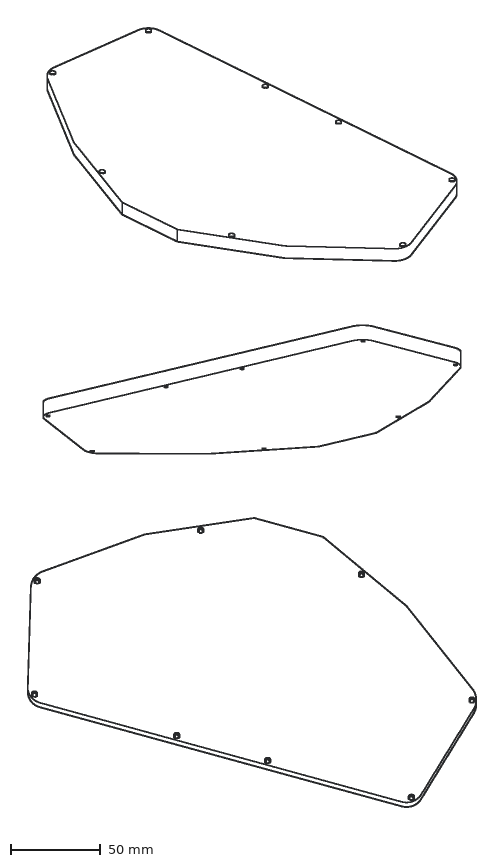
import cadquery as cq
import math

overall_width = 258.09
plate_depth = 137.0
plate_thickness = 8.6
rear_corner_radius = 9.5
side_corner_radius = 10.4

rear_half_width = 112.5
front_half_width = 20.0
knee_half_width = 76.1

knee_from_front = 26.1
side_from_front = 66.8

screw_diameter = 2.1
head_diameter = 3.3
head_depth = 2.0

screw_places = [
    (109.5, 132.9),
    (26.4, 134.3),
    (126.3, 68.8),
    (46.7, 15.1),
]

rear_y = plate_depth / 2
front_y = -plate_depth / 2
knee_y = front_y + knee_from_front
side_y = front_y + side_from_front


def side_half_width():
    """Half width at the sharp side corners that leaves the overall width once they are rounded."""
    refinement_steps = 20
    sharp = overall_width / 2
    for _ in range(refinement_steps):
        rear_angle = math.atan2(sharp - rear_half_width, rear_y - side_y)
        knee_angle = math.atan2(sharp - knee_half_width, side_y - knee_y)
        half_turn = (rear_angle + knee_angle) / 2
        tilt = (knee_angle - rear_angle) / 2
        trimmed = side_corner_radius * (math.cos(tilt) / math.cos(half_turn) - 1)
        sharp = overall_width / 2 + trimmed
    return sharp


def make_plate():
    """Flat plate with the rear and side corners rounded."""
    side_x = side_half_width()
    right_half = [
        (front_half_width, front_y),
        (knee_half_width, knee_y),
        (side_x, side_y),
        (rear_half_width, rear_y),
    ]
    left_half = [(-x, y) for x, y in reversed(right_half)]
    plate = cq.Workplane("XY").polyline(right_half + left_half).close().extrude(plate_thickness)
    rear_corners = plate.faces(">Y").edges("|Z")
    plate = rear_corners.fillet(rear_corner_radius)
    side_corners = cq.selectors.BoxSelector(
        (-overall_width, (side_y + knee_y) / 2, 0),
        (overall_width, (side_y + rear_y) / 2, plate_thickness),
    )
    return plate.edges("|Z").edges(side_corners).fillet(side_corner_radius)


def cut_screw_holes(plate):
    """Counterbored screw holes, mirrored about the YZ plane."""
    centres = [(side * x, front_y + y) for x, y in screw_places for side in (-1, 1)]
    return (
        plate.faces(">Z")
        .workplane(origin=(0, 0, plate_thickness))
        .pushPoints(centres)
        .cboreHole(screw_diameter, head_diameter, head_depth)
    )


result = cut_screw_holes(make_plate())